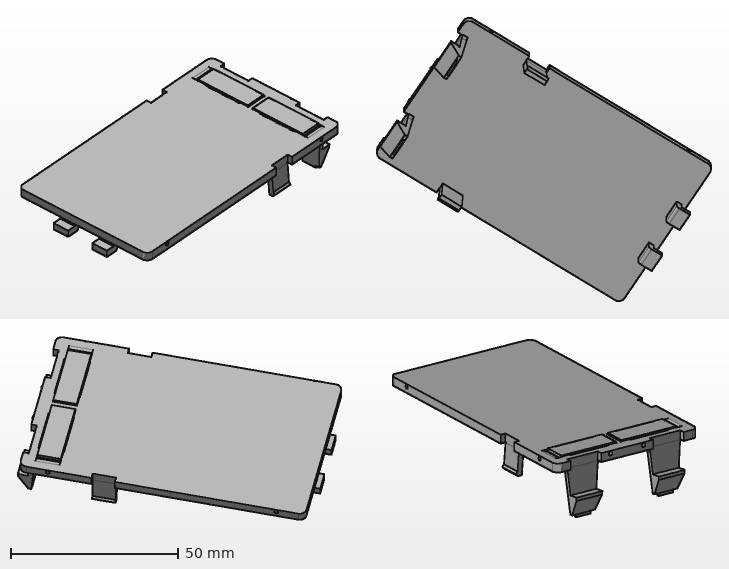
import cadquery as cq

SIDES = (-1, 1)

PLATE_HALF_WIDTH = 25.7
PLATE_REAR = 43.4
PLATE_FRONT = -44.0
PLATE_THICKNESS = 2.9
CORNER_RADIUS = 2.1

PIP_RADIUS = 0.6
SIDE_PIP_HEIGHT = 0.23
REAR_PIP_HEIGHT = 0.4
PIP_Z = 2.0
SIDE_PIP_YS = (34.75, -35.2)
REAR_PIP_X = 6.0

POCKET_INNER = 0.7
POCKET_OUTER = 21.7
POCKET_REAR = 39.1
POCKET_FRONT = 31.8
POCKET_DEPTH = 0.6
RAMP_LENGTH = 1.2
RAMP_DROP = 0.2
BEVEL_LENGTH = 13.6
BEVEL_SIZE = 0.3
LABEL_INNER = 1.0
LABEL_OUTER = 20.8
LABEL_SIDE_GAP = 0.1
LABEL_RISE = 0.4
LABEL_CENTER = (LABEL_INNER + LABEL_OUTER) / 2
POCKET_Y = (POCKET_REAR + POCKET_FRONT) / 2
POCKET_WIDTH = POCKET_REAR - POCKET_FRONT

HOOK_X = 14.9
NOTCH_WIDTH = 11.0
NOTCH_DEPTH = 1.7
NOTCH_WALL = PLATE_REAR - NOTCH_DEPTH
HOOK_ROOT_THICKNESS = 1.7
HOOK_ROOT_HALF_WIDTH = 5.8
HOOK_FLARE_HEIGHT = 2.0
HOOK_NECK_HALF_WIDTH = 5.3
HOOK_END_HALF_WIDTH = 4.2
HOOK_END_Z = -15.4
HOOK_END_REAR = 42.2
BARB_REAR = 45.25
BARB_TOP_Z = -8.5
BARB_UNDERCUT = 0.3
BARB_FACE_HEIGHT = 1.1
BARB_ROOT_Y = 42.2
TIP_HALF_WIDTH = 2.6
TIP_Z = -16.3
TIP_FRONT = 41.3
TIP_BEVEL = 0.3

CLIP_REAR = 21.4
CLIP_FRONT = 14.2
SLOT_DEPTH = 1.7
CLIP_ROOT_OUTER = PLATE_HALF_WIDTH - SLOT_DEPTH
CLIP_ROOT_INNER = 22.3
CLIP_END_INNER = 22.9
CLIP_END_Z = -8.4
CLIP_END_OUTER = 24.3
CLIP_BARB_X = 25.2
CLIP_BARB_Z = -7.6
CLIP_NECK_X = 24.5
CLIP_NECK_Z = -6.9

FOOT_X = 7.7
FOOT_WIDTH = 5.8
FOOT_END = -45.25
FOOT_LEG_FRONT = -42.3
FOOT_LEG_REAR = -40.5
FOOT_TOP_Z = -2.35
FOOT_BOTTOM_Z = -4.7
FOOT_HEEL_RADIUS = 0.9


def block(x_limits, y_limits, z_limits):
    """Box between two limits on each axis, given in either order."""
    limits = [sorted(pair) for pair in (x_limits, y_limits, z_limits)]
    sizes = [high - low for low, high in limits]
    return cq.Workplane().box(*sizes, centered=False).translate(tuple(low for low, high in limits))


def plate_blank():
    length = PLATE_REAR - PLATE_FRONT
    return (
        cq.Workplane()
        .center(0, (PLATE_REAR + PLATE_FRONT) / 2)
        .rect(2 * PLATE_HALF_WIDTH, length)
        .extrude(PLATE_THICKNESS)
        .edges("|Z")
        .fillet(CORNER_RADIUS)
    )


def rear_notch(side):
    x = side * HOOK_X
    x_limits = (x - NOTCH_WIDTH / 2, x + NOTCH_WIDTH / 2)
    return block(x_limits, (NOTCH_WALL, PLATE_REAR), (0, PLATE_THICKNESS))


def side_slot(side):
    x_limits = (side * CLIP_ROOT_OUTER, side * PLATE_HALF_WIDTH)
    return block(x_limits, (CLIP_FRONT, CLIP_REAR), (0, PLATE_THICKNESS))


def label_pocket(side):
    """Blind pocket with a ramp at its outer end and a bevel along the middle of each long edge."""
    floor = PLATE_THICKNESS - POCKET_DEPTH
    pocket = block(
        (side * POCKET_INNER, side * POCKET_OUTER), (POCKET_FRONT, POCKET_REAR), (floor, PLATE_THICKNESS)
    )
    ramp = (
        cq.Workplane("XZ", origin=(0, POCKET_REAR, 0))
        .moveTo(side * POCKET_OUTER, PLATE_THICKNESS)
        .lineTo(side * (POCKET_OUTER + RAMP_LENGTH), PLATE_THICKNESS)
        .lineTo(side * POCKET_OUTER, PLATE_THICKNESS - RAMP_DROP)
        .close()
        .extrude(POCKET_WIDTH)
    )
    half_width = POCKET_WIDTH / 2
    bevels = (
        cq.Workplane("YZ", origin=(side * LABEL_CENTER, POCKET_Y, PLATE_THICKNESS))
        .moveTo(-half_width - BEVEL_SIZE, 0)
        .lineTo(half_width + BEVEL_SIZE, 0)
        .lineTo(half_width, -BEVEL_SIZE)
        .lineTo(-half_width, -BEVEL_SIZE)
        .close()
        .extrude(BEVEL_LENGTH / 2, both=True)
    )
    return pocket.union(ramp).union(bevels)


def pip(base_center, direction, height):
    """Dome that stands height proud of the plate's edge at base_center."""
    dome_radius = (PIP_RADIUS**2 + height**2) / (2 * height)
    up = cq.Vector(0, 0, 1)
    upright_plane = cq.Plane(origin=base_center, xDir=up, normal=up.cross(cq.Vector(direction)))
    return (
        cq.Workplane(upright_plane)
        .lineTo(PIP_RADIUS, 0)
        .radiusArc((0, height), -dome_radius)
        .close()
        .revolve(360, (0, 0), (0, 1))
    )


def hook(side):
    """Sprung hook: a leaning stem with a rear barb, tapered in width and flared at its root."""
    x = side * HOOK_X
    side_profile = (
        cq.Workplane("YZ", origin=(x, 0, 0))
        .moveTo(NOTCH_WALL - HOOK_ROOT_THICKNESS, 0)
        .lineTo(NOTCH_WALL, 0)
        .lineTo(BARB_ROOT_Y, BARB_TOP_Z - BARB_UNDERCUT)
        .lineTo(BARB_REAR, BARB_TOP_Z)
        .lineTo(BARB_REAR, BARB_TOP_Z - BARB_FACE_HEIGHT)
        .lineTo(HOOK_END_REAR, HOOK_END_Z)
        .lineTo(HOOK_END_REAR, TIP_Z)
        .lineTo(TIP_FRONT + TIP_BEVEL, TIP_Z)
        .lineTo(TIP_FRONT, TIP_Z + TIP_BEVEL)
        .close()
        .extrude(HOOK_ROOT_HALF_WIDTH, both=True)
    )
    width_profile = (
        cq.Workplane("XZ", origin=(x, BARB_REAR, 0))
        .moveTo(0, TIP_Z)
        .lineTo(TIP_HALF_WIDTH, TIP_Z)
        .lineTo(TIP_HALF_WIDTH, HOOK_END_Z)
        .lineTo(HOOK_END_HALF_WIDTH, HOOK_END_Z)
        .lineTo(HOOK_NECK_HALF_WIDTH, -HOOK_FLARE_HEIGHT)
        .tangentArcPoint((HOOK_ROOT_HALF_WIDTH, 0), relative=False)
        .lineTo(0, 0)
        .mirrorY()
        .extrude(BARB_REAR - NOTCH_WALL + HOOK_ROOT_THICKNESS)
    )
    return side_profile.intersect(width_profile)


def side_clip(side):
    """Sprung clip that leans outward and ends in a small pointed barb."""
    outline = [
        (CLIP_ROOT_INNER, 0),
        (CLIP_ROOT_OUTER, 0),
        (CLIP_NECK_X, CLIP_NECK_Z),
        (CLIP_BARB_X, CLIP_BARB_Z),
        (CLIP_END_OUTER, CLIP_END_Z),
        (CLIP_END_INNER, CLIP_END_Z),
    ]
    return (
        cq.Workplane("XZ", origin=(0, CLIP_REAR, 0))
        .polyline([(side * x, z) for x, z in outline])
        .close()
        .extrude(CLIP_REAR - CLIP_FRONT)
    )


def front_foot(side):
    """L-shaped tab: a leg under the plate and a toe that reaches past its front edge."""
    return (
        cq.Workplane("YZ", origin=(side * FOOT_X, 0, 0))
        .moveTo(FOOT_LEG_REAR, 0)
        .lineTo(FOOT_LEG_FRONT, 0)
        .lineTo(FOOT_LEG_FRONT, FOOT_TOP_Z)
        .lineTo(FOOT_END, FOOT_TOP_Z)
        .lineTo(FOOT_END, FOOT_BOTTOM_Z)
        .lineTo(FOOT_LEG_REAR - FOOT_HEEL_RADIUS, FOOT_BOTTOM_Z)
        .radiusArc((FOOT_LEG_REAR, FOOT_BOTTOM_Z + FOOT_HEEL_RADIUS), -FOOT_HEEL_RADIUS)
        .close()
        .extrude(FOOT_WIDTH / 2, both=True)
    )


def make_cover():
    cover = plate_blank()
    for side in SIDES:
        cover = cover.cut(rear_notch(side)).cut(side_slot(side)).cut(label_pocket(side))
        cover = cover.union(hook(side)).union(side_clip(side)).union(front_foot(side))
        cover = cover.union(pip((side * REAR_PIP_X, PLATE_REAR, PIP_Z), (0, 1, 0), REAR_PIP_HEIGHT))
        for y in SIDE_PIP_YS:
            cover = cover.union(pip((side * PLATE_HALF_WIDTH, y, PIP_Z), (side, 0, 0), SIDE_PIP_HEIGHT))
    return cover


def make_label(side):
    """Flat label that rests on the pocket floor and stands slightly above the plate."""
    return block(
        (side * LABEL_INNER, side * LABEL_OUTER),
        (POCKET_FRONT + LABEL_SIDE_GAP, POCKET_REAR - LABEL_SIDE_GAP),
        (PLATE_THICKNESS - POCKET_DEPTH, PLATE_THICKNESS + LABEL_RISE),
    )


cover = make_cover()
labels = [make_label(side) for side in SIDES]

result = cq.Compound.makeCompound([cover.val(), *[label.val() for label in labels]])